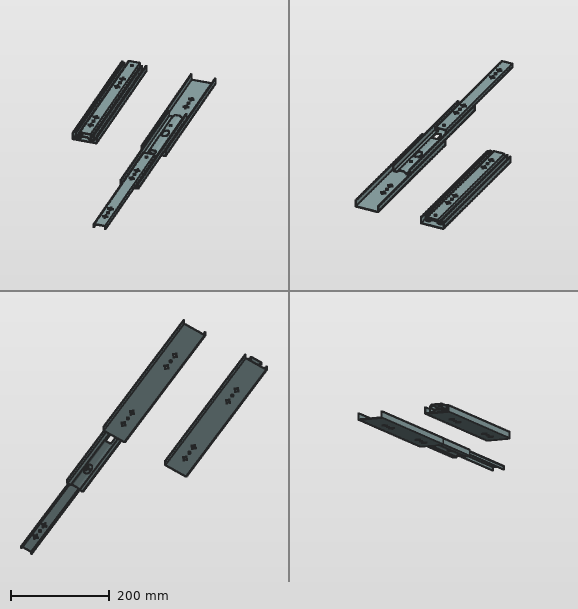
import cadquery as cq

TOTAL_WIDTH = 202.0
TOTAL_LENGTH = 628
SHEET = 2.0

OUTER_WIDTH = 53.5
OUTER_LENGTH = 300.0
OUTER_HEIGHT = 14.5
OUTER_BEND = 3.0

MIDDLE_WIDTH = 39.5
MIDDLE_LENGTH = 290.0
MIDDLE_BOTTOM = 4.0
MIDDLE_TOP = 17.5
MIDDLE_BEND = 3.0
RIB_TOP = 10.5
RIB_TOP_HALF_WIDTH = 5.5
RIB_BASE_HALF_WIDTH = 10.5
RIB_BEND = 4.0

INNER_WIDTH = 26.5
INNER_LENGTH = 298.5
INNER_BOTTOM = 10.5
INNER_RISE = 1.5
INNER_TOP = MIDDLE_TOP + INNER_RISE
INNER_BEND = 2.8

HOLE_DIAMETER = 5.0
HOLE_GROUP_CENTRES = (51.0, 211.0)
CROSS_SPACING = 32.0
CROSS_LENGTH = 11.0
CROSS_ARM_WIDTH = 2.0
COUNTERSINK_DIAMETER = 7.5
INNER_END_HOLE_FROM_BACK = 15.0

MIDDLE_HOLE_FROM_BACK = 42.0
ACCESS_SLOTS_FROM_BACK = (74.0, 242.0)
ACCESS_SLOT_LENGTH = 22.5
LATCH_WINDOW_FROM_BACK = 156.5
LATCH_WINDOW_LENGTH = 21.0
LATCH_WINDOW_CORNER = 2.5
OPENING_WIDTH = 12.5

SLIDE_X = (TOTAL_WIDTH - OUTER_WIDTH) / 2
CLOSED_FRONT = OUTER_LENGTH - INNER_LENGTH
OPEN_INNER_FRONT = OUTER_LENGTH - TOTAL_LENGTH
OPEN_MIDDLE_FRONT = -146.0

CROSS_CENTRES = [
    centre + side * CROSS_SPACING / 2 for centre in HOLE_GROUP_CENTRES for side in (-1, 1)
]


def channel(width, length, height, bend):
    """A folded sheet, open upwards, on z = 0 and from y = 0 to its length, rounded along its bends."""
    block = (
        cq.Workplane("XY")
        .box(width, length, height, centered=(True, False, False))
        .edges("|Y and <Z")
        .fillet(bend)
    )
    hollow = cq.Workplane("XY", origin=(0, 0, SHEET)).box(
        width - 2 * SHEET, length, height, centered=(True, False, False)
    )
    return block.cut(hollow)


def at_places(y_places, z):
    """A workplane at height z with a point on the rail's centre line at every given y."""
    return cq.Workplane("XY", origin=(0, 0, z)).pushPoints([(0, y) for y in y_places])


def round_holes(y_places, z, depth):
    return at_places(y_places, z).circle(HOLE_DIAMETER / 2).extrude(depth)


def cut_cross_holes(rail, z):
    """Cut a round hole with four arms through the sheet at every screw position."""
    rail = rail.cut(round_holes(CROSS_CENTRES, z, SHEET))
    for angle in (0, 90):
        arms = at_places(CROSS_CENTRES, z).slot2D(CROSS_LENGTH, CROSS_ARM_WIDTH, angle).extrude(SHEET)
        rail = rail.cut(arms)
    return rail


def make_outer_rail():
    rail = channel(OUTER_WIDTH, OUTER_LENGTH, OUTER_HEIGHT, OUTER_BEND)
    rail = rail.cut(round_holes(HOLE_GROUP_CENTRES, 0, SHEET))
    rail = cut_cross_holes(rail, 0)
    for y in CROSS_CENTRES:
        countersink = cq.Solid.makeCone(
            HOLE_DIAMETER / 2, COUNTERSINK_DIAMETER / 2, SHEET, pnt=cq.Vector(0, y, 0)
        )
        rail = rail.cut(cq.Workplane(countersink))
    return rail


def rib_prism(base_z, top_z, bend):
    """A bar of trapezoidal section along the middle rail, with its top corners rounded."""
    return (
        cq.Workplane("XZ")
        .polyline(
            [
                (-RIB_BASE_HALF_WIDTH, base_z),
                (-RIB_TOP_HALF_WIDTH, top_z),
                (RIB_TOP_HALF_WIDTH, top_z),
                (RIB_BASE_HALF_WIDTH, base_z),
            ]
        )
        .close()
        .extrude(-MIDDLE_LENGTH)
        .edges("|Y and >Z")
        .fillet(bend)
    )


def make_middle_rail():
    rail = channel(MIDDLE_WIDTH, MIDDLE_LENGTH, MIDDLE_TOP - MIDDLE_BOTTOM, MIDDLE_BEND)
    rail = rail.translate((0, 0, MIDDLE_BOTTOM))

    rib = rib_prism(MIDDLE_BOTTOM + SHEET, RIB_TOP, RIB_BEND)
    rib_hollow = rib_prism(MIDDLE_BOTTOM, RIB_TOP - SHEET, RIB_BEND - SHEET)
    rail = rail.union(rib).cut(rib_hollow)

    depth = RIB_TOP - MIDDLE_BOTTOM
    hole = round_holes([MIDDLE_LENGTH - MIDDLE_HOLE_FROM_BACK], MIDDLE_BOTTOM, depth)
    slot_places = [MIDDLE_LENGTH - distance for distance in ACCESS_SLOTS_FROM_BACK]
    slots = (
        at_places(slot_places, MIDDLE_BOTTOM)
        .slot2D(ACCESS_SLOT_LENGTH, OPENING_WIDTH, 90)
        .extrude(depth)
    )
    window = (
        at_places([MIDDLE_LENGTH - LATCH_WINDOW_FROM_BACK], MIDDLE_BOTTOM)
        .rect(OPENING_WIDTH, LATCH_WINDOW_LENGTH)
        .extrude(depth)
        .edges("|Z")
        .fillet(LATCH_WINDOW_CORNER)
    )
    return rail.cut(hole).cut(slots).cut(window)


def make_inner_rail():
    rail = (
        channel(INNER_WIDTH, INNER_LENGTH, INNER_TOP - INNER_BOTTOM, INNER_BEND)
        .rotate((0, 0, 0), (0, 1, 0), 180)
        .translate((0, 0, INNER_TOP))
    )
    web_bottom = INNER_TOP - SHEET
    round_places = [*HOLE_GROUP_CENTRES, INNER_LENGTH - INNER_END_HOLE_FROM_BACK]
    rail = rail.cut(round_holes(round_places, web_bottom, SHEET))
    return cut_cross_holes(rail, web_bottom)


outer_rail = make_outer_rail()
middle_rail = make_middle_rail()
inner_rail = make_inner_rail()

bodies = []
for slide_x, middle_front, inner_front in (
    (-SLIDE_X, CLOSED_FRONT, CLOSED_FRONT),
    (SLIDE_X, OPEN_MIDDLE_FRONT, OPEN_INNER_FRONT),
):
    bodies.append(outer_rail.translate((slide_x, 0, 0)).solids().val())
    bodies.append(middle_rail.translate((slide_x, middle_front, 0)).solids().val())
    bodies.append(inner_rail.translate((slide_x, inner_front, 0)).solids().val())

result = cq.Compound.makeCompound(bodies)